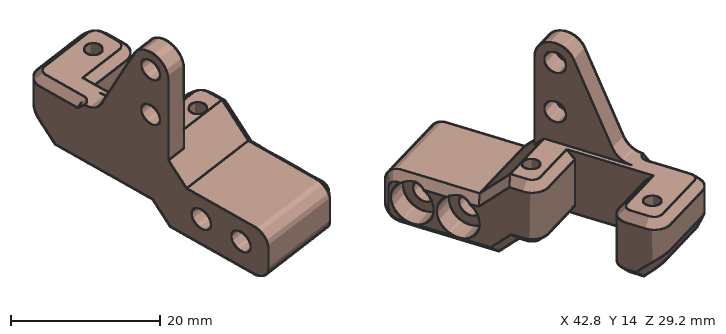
import cadquery as cq
import math

LENGTH = 42.84
DEPTH = 14.0
HEIGHT = 29.22

EDGE_CHAMFER = 1.25
CORNER_RADIUS = 2.5

ARM_BOTTOM = 3.1
ARM_TOP = 13.15
WEB_THICKNESS = 4.0
GAP_LEFT = 7.9
GAP_RIGHT = 18.6
NOSE_BEVEL = 3.42

BLOCK_TOP = 8.5
UPPER_SLOPE_END = 28.4
UPPER_SLOPE_START = UPPER_SLOPE_END - (ARM_TOP - BLOCK_TOP)
LOWER_SLOPE_END = 25.5
LOWER_SLOPE_START = LOWER_SLOPE_END - ARM_BOTTOM

TOWER_THICKNESS = 3.2
TOWER_RADIUS = 3.15
TOWER_RIGHT = 25.2
TOWER_X = TOWER_RIGHT - TOWER_RADIUS
TOWER_Z = HEIGHT - TOWER_RADIUS
TOWER_FOOT_X = 12.45
TOWER_FOOT_RADIUS = 3.2

TOWER_HOLE_DIAMETER = 3.3
TOWER_HOLE_SPACING = 8.0
BOLT_HOLE_DIAMETER = 3.4
BOLT_HEAD_DIAMETER = 6.5
BOLT_HEAD_DEPTH = 3.4
BOLT_Z = 4.5
BOLT_XS = (31.0, 38.0)
PILOT_DIAMETER = 2.46
PILOT_DEPTH = 8.0
PILOT_POINT_ANGLE = math.radians(118)
PILOT_XS = (3.95, 22.4)
PILOT_Y = 9.35

TOLERANCE = 0.01


def near(value, target):
    return abs(value - target) < TOLERANCE


def on_nose_rim(edge):
    """True for the rim of the nose bevel, apart from its straight lower edge."""
    on_plane = all(near(v.X + v.Z, ARM_BOTTOM + NOSE_BEVEL) for v in edge.Vertices())
    return on_plane and edge.Center().z > ARM_BOTTOM + TOLERANCE


def make_profile():
    """Side outline shared by the arms and the end block, extruded through the depth."""
    return (
        cq.Workplane("XZ")
        .moveTo(NOSE_BEVEL, ARM_BOTTOM)
        .lineTo(LOWER_SLOPE_START, ARM_BOTTOM)
        .lineTo(LOWER_SLOPE_END, 0)
        .lineTo(LENGTH, 0)
        .lineTo(LENGTH, BLOCK_TOP)
        .lineTo(UPPER_SLOPE_END, BLOCK_TOP)
        .lineTo(UPPER_SLOPE_START, ARM_TOP)
        .lineTo(0, ARM_TOP)
        .lineTo(0, ARM_BOTTOM + NOSE_BEVEL)
        .close()
        .extrude(-DEPTH)
        .edges("|Y and >X")
        .fillet(CORNER_RADIUS)
    )


def make_left_arm(profile):
    """Arm with a chamfered rim around its nose bevel and along its lower inner edges."""
    prism = cq.Workplane("XY").box(GAP_LEFT, DEPTH, HEIGHT, centered=False)
    prism = prism.edges("|Z").edges("<X or >Y").fillet(CORNER_RADIUS)
    arm = profile.intersect(prism)
    bevel_rim = [edge for edge in arm.edges().vals() if on_nose_rim(edge)]
    arm = arm.newObject(bevel_rim).chamfer(EDGE_CHAMFER)

    lower_trim = (
        cq.Workplane("XY", origin=(0, 0, ARM_BOTTOM))
        .box(GAP_LEFT, DEPTH, HEIGHT, centered=False)
        .edges("|Z and >X and >Y")
        .fillet(CORNER_RADIUS)
        .edges("<Z and >Y")
        .chamfer(EDGE_CHAMFER)
    )
    web_space = cq.Workplane("XY").box(GAP_LEFT, WEB_THICKNESS, HEIGHT, centered=False)
    return arm.intersect(lower_trim.union(web_space))


def make_right_body(profile):
    """Front web from the left arm onward, the right arm and the end block."""
    right = (
        cq.Workplane("XY")
        .box(LENGTH - GAP_RIGHT, DEPTH, HEIGHT, centered=False)
        .edges("|Z and <X and >Y")
        .fillet(CORNER_RADIUS)
        .translate((GAP_RIGHT, 0, 0))
    )
    web = (
        cq.Workplane("XY")
        .box(LENGTH - GAP_LEFT, WEB_THICKNESS, HEIGHT, centered=False)
        .translate((GAP_LEFT, 0, 0))
    )
    return profile.intersect(right.union(web))


def make_tower():
    """Plate with a round head, a straight right side and a tangent sloping left side.

    Its base is sunk into the web, where it ends the front rim chamfer with a half cone.
    """
    rise = TOWER_Z - ARM_TOP
    run = TOWER_X - TOWER_FOOT_X
    slope = math.atan2(rise, run) + math.asin(TOWER_RADIUS / math.hypot(rise, run))
    tangent_x = TOWER_X - TOWER_RADIUS * math.sin(slope)
    tangent_z = TOWER_Z + TOWER_RADIUS * math.cos(slope)

    foot_tangent = TOWER_FOOT_RADIUS * math.tan(slope / 2)
    foot_start_x = TOWER_FOOT_X - foot_tangent
    foot_end_x = TOWER_FOOT_X + foot_tangent * math.cos(slope)
    foot_end_z = ARM_TOP + foot_tangent * math.sin(slope)
    slope_corner_z = ARM_TOP - (TOWER_RIGHT - UPPER_SLOPE_START)

    rim_end_x = foot_start_x - EDGE_CHAMFER

    plate = (
        cq.Workplane("XZ")
        .moveTo(rim_end_x, ARM_TOP)
        .lineTo(foot_start_x, ARM_TOP)
        .radiusArc((foot_end_x, foot_end_z), -TOWER_FOOT_RADIUS)
        .lineTo(tangent_x, tangent_z)
        .threePointArc((TOWER_X, HEIGHT), (TOWER_RIGHT, TOWER_Z))
        .lineTo(TOWER_RIGHT, slope_corner_z)
        .lineTo(rim_end_x, slope_corner_z)
        .close()
        .extrude(-TOWER_THICKNESS)
    )
    rim_end_apex = cq.Vector(rim_end_x, 0, ARM_TOP - EDGE_CHAMFER)
    rim_end_cone = cq.Solid.makeCone(0, EDGE_CHAMFER, EDGE_CHAMFER, rim_end_apex)
    return plate.cut(cq.Workplane(obj=rim_end_cone))


def takes_chamfer(edge):
    """Pick the upper arm rims, the right arm's lower rim and the back rim of the end block."""
    box = edge.BoundingBox()
    center = edge.Center()
    right_of_gap = center.x > GAP_RIGHT - TOLERANCE
    on_top = near(box.zmin, ARM_TOP) and near(box.zmax, ARM_TOP)
    on_bottom = near(box.zmin, ARM_BOTTOM) and near(box.zmax, ARM_BOTTOM)
    on_rim = on_top or (on_bottom and right_of_gap)

    if near(box.xlen, 0) and near(box.zlen, 0):
        return on_rim and any(near(center.x, wall) for wall in (0, GAP_LEFT, GAP_RIGHT))
    if near(box.xlen, 0) and near(box.ylen, 0):
        return near(center.x, LENGTH) and near(center.y, DEPTH)
    if near(box.ymin, DEPTH):
        return on_top or right_of_gap
    on_rounded_corner = box.ylen > TOLERANCE
    on_front_rim = on_top and near(center.y, 0)
    return on_front_rim or (on_rim and on_rounded_corner)


def cut_tower_holes(part):
    for z in (TOWER_Z, TOWER_Z - TOWER_HOLE_SPACING):
        hole = (
            cq.Workplane("XZ")
            .center(TOWER_X, z)
            .circle(TOWER_HOLE_DIAMETER / 2)
            .extrude(-DEPTH)
        )
        part = part.cut(hole)
    return part


def cut_bolt_holes(part):
    """Through holes counterbored from the back face."""
    for x in BOLT_XS:
        shank = cq.Workplane("XZ").center(x, BOLT_Z).circle(BOLT_HOLE_DIAMETER / 2).extrude(-DEPTH)
        head = (
            cq.Workplane("XZ", origin=(0, DEPTH, 0))
            .center(x, BOLT_Z)
            .circle(BOLT_HEAD_DIAMETER / 2)
            .extrude(BOLT_HEAD_DEPTH)
        )
        part = part.cut(shank).cut(head)
    return part


def cut_pilot_holes(part):
    """Blind holes with a drill point, down from the top of each arm."""
    radius = PILOT_DIAMETER / 2
    point_depth = radius / math.tan(PILOT_POINT_ANGLE / 2)
    drill = (
        cq.Workplane("XZ")
        .moveTo(0, 0)
        .lineTo(radius, 0)
        .lineTo(radius, -PILOT_DEPTH)
        .lineTo(0, -PILOT_DEPTH - point_depth)
        .close()
        .revolve(360, (0, 0, 0), (0, 1, 0))
    )
    for x in PILOT_XS:
        part = part.cut(drill.translate((x, PILOT_Y, ARM_TOP)))
    return part


profile = make_profile()
bracket = make_left_arm(profile).union(make_right_body(profile)).clean()
bracket = bracket.newObject([edge for edge in bracket.edges().vals() if takes_chamfer(edge)])
bracket = bracket.chamfer(EDGE_CHAMFER)
bracket = bracket.union(make_tower()).clean()
bracket = cut_tower_holes(bracket)
bracket = cut_bolt_holes(bracket)
result = cut_pilot_holes(bracket)